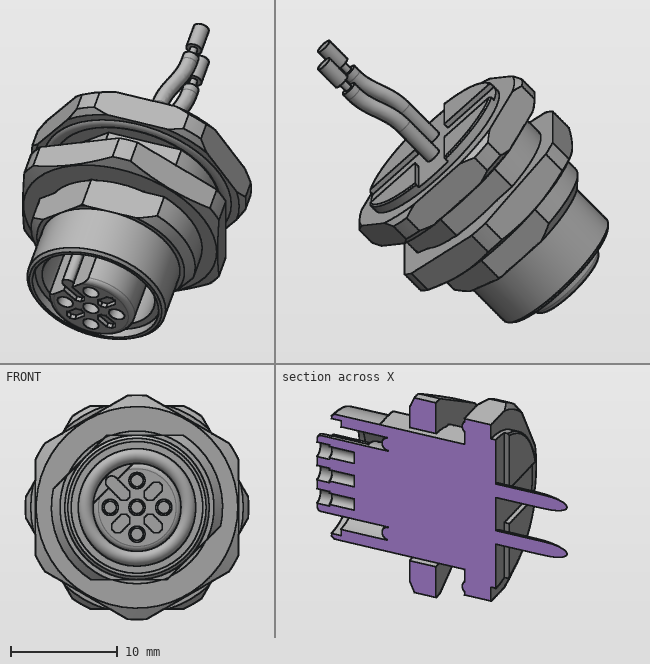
import cadquery as cq
import math


body_radius = 8.0
flat_distance = 6.75
flat_directions = (90, 135, 270, 315)
body_chamfer = 0.8
sleeve_radius = flat_distance
sleeve_chamfer = 0.3
sleeve_front = 1.5
body_front = 6.5
body_back = 19.0
rear_chamfer = 0.15
mouth_diameter = 12.3
mouth_depth = 0.95
bore_radius = 5.5
bore_floor = 7.4

rear_slot_width = 3.73
rear_slot_depth = 0.5

across_flats = 19.0
lock_nut_front = 9.58
lock_nut_back = 12.3
lock_nut_diameter = 21.0
lock_nut_bore = 7.15
lock_nut_face_radius = 9.42
lock_nut_bevel = 0.48
flange_front = 15.25
flange_back = 18.0
flange_radius = 10.45
flange_bevel = 0.5

panel_seal_tube = 0.7
panel_seal_radius = 8.62
panel_seal_proud = 0.25

insert_radius = 4.1
insert_fillet = 0.48
key_flat_distance = 3.15
key_flat_back = 5.15
key_direction = 135
key_radius = 0.58
key_center = 3.35
slot_width = 1.15
slot_directions = (45, 135, 225, 315)
slot_depth = 0.48
slot_corner = 0.35
slot_inner_end = 1.15
slot_outer_end = 3.12
contact_directions = (0, 90, 180, 270)
contact_pitch_radius = 2.5
contact_mouth_diameter = 1.5
contact_hole_diameter = 1.15
contact_mouth_depth = 1.3
contact_hole_depth = 3.85

wire_diameter = 1.5
core_diameter = 0.7
wire_offset = 1.22
bend_start = 22.57
bend_end = 28.1
insulation_end = 28.77
cap_start = 29.7
wire_end = 32.15

overlap = 0.32


def at_y(y):
    """Plane across the connector axis: local x is X, local y is Z, normal is -Y."""
    return cq.Workplane("XZ", origin=(0, y, 0))


def disc(radius, front, back):
    return at_y(back).circle(radius).extrude(back - front)


def revolved(points):
    """Solid of revolution about Y from (radius, y) points."""
    return cq.Workplane("XY").polyline(points).close().revolve(360, (0, 0, 0), (0, 1, 0))


def turned_to(solid, angle):
    """Turn a solid built along +X so that it points at an angle from +X toward +Z."""
    return solid.rotate((0, 0, 0), (0, 1, 0), -angle)


def beyond(distance, front, back):
    """Block that removes everything past a flat at the given distance along +X."""
    size = 2 * body_radius
    return cq.Workplane("XY").box(size, back - front, size, centered=(False, False, True)).translate(
        (distance, front, 0)
    )


def torus(ring_radius, tube_radius, y):
    return cq.Workplane("XY").center(ring_radius, y).circle(tube_radius).revolve(
        360, (-ring_radius, 0, 0), (-ring_radius, 1, 0)
    )


def hexagon(front, back, first_corner):
    corner_diameter = across_flats / math.cos(math.radians(30))
    prism = at_y(back).polygon(6, corner_diameter).extrude(back - front)
    return turned_to(prism, first_corner)


def make_body():
    body = revolved([
        (0, body_front),
        (body_radius - body_chamfer, body_front),
        (body_radius, body_front + body_chamfer),
        (body_radius, body_back - rear_chamfer),
        (body_radius - rear_chamfer, body_back),
        (0, body_back),
    ])
    for angle in flat_directions:
        body = body.cut(turned_to(beyond(flat_distance, body_front, flange_front), angle))
    slot = at_y(body_back).rect(2 * body_radius, rear_slot_width).extrude(rear_slot_depth)
    for angle in (0, 90):
        body = body.cut(turned_to(slot, angle))
    return body


def make_sleeve():
    sleeve = disc(sleeve_radius, sleeve_front, body_front + overlap)
    return sleeve.faces("<Y").chamfer(sleeve_chamfer)


def make_lock_nut():
    envelope = revolved([
        (lock_nut_bore, lock_nut_front),
        (lock_nut_face_radius, lock_nut_front),
        (lock_nut_diameter / 2, lock_nut_front + lock_nut_bevel),
        (lock_nut_diameter / 2, lock_nut_back),
        (lock_nut_bore, lock_nut_back),
    ])
    return hexagon(lock_nut_front, lock_nut_back, 90).intersect(envelope)


def make_flange():
    envelope = disc(flange_radius, flange_front, flange_back).faces("|Y").chamfer(flange_bevel)
    return hexagon(flange_front, flange_back, 0).intersect(envelope)


def make_insert():
    insert = disc(insert_radius, 0, bore_floor + overlap).faces("<Y").edges().fillet(insert_fillet)
    insert = insert.cut(turned_to(beyond(key_flat_distance, 0, key_flat_back), key_direction))

    key_length = key_center + key_radius - slot_inner_end
    key = at_y(key_flat_back + overlap).center(slot_inner_end + key_length / 2, 0)
    key = key.slot2D(key_length, 2 * key_radius).extrude(key_flat_back + overlap - slot_depth)
    insert = insert.union(turned_to(key, key_direction))

    for angle in slot_directions:
        outer_end = slot_outer_end
        if angle == key_direction:
            outer_end = key_center + key_radius + slot_width
        length = outer_end - slot_inner_end
        slot = at_y(slot_depth).center(slot_inner_end + length / 2, 0).rect(length, slot_width)
        slot = slot.extrude(slot_depth).edges("|Y").chamfer(slot_corner)
        insert = insert.cut(turned_to(slot, angle))

    contact = revolved([
        (0, 0),
        (contact_mouth_diameter / 2, 0),
        (contact_mouth_diameter / 2, contact_mouth_depth),
        (contact_hole_diameter / 2, contact_mouth_depth),
        (contact_hole_diameter / 2, contact_hole_depth),
        (0, contact_hole_depth),
    ])
    insert = insert.cut(contact)
    for angle in contact_directions:
        insert = insert.cut(turned_to(contact.translate((contact_pitch_radius, 0, 0)), angle))
    return insert


def make_wire(z):
    """Wire that leaves the rear face straight, then swings sideways in a smooth S."""
    start = body_back - rear_slot_depth - overlap
    path = (
        cq.Workplane("XY", origin=(0, 0, z))
        .moveTo(0, start)
        .lineTo(0, bend_start)
        .spline([(wire_offset, bend_end)], tangents=[(0, 1), (0, 1)], includeCurrent=True)
        .lineTo(wire_offset, insulation_end)
    )
    insulation = at_y(start).center(0, z).circle(wire_diameter / 2).sweep(path)
    core = disc(core_diameter / 2, insulation_end - overlap, cap_start + overlap)
    cap = disc(wire_diameter / 2, cap_start, wire_end)
    return insulation.union(core.union(cap).translate((wire_offset, 0, z)))


result = make_body().union(make_sleeve()).union(make_flange())
result = result.cut(disc(bore_radius, sleeve_front, bore_floor))
result = result.cut(disc(mouth_diameter / 2, sleeve_front, sleeve_front + mouth_depth))
result = result.union(make_lock_nut())

panel_seal_y = flange_front - panel_seal_proud + panel_seal_tube
result = result.union(torus(panel_seal_radius, panel_seal_tube, panel_seal_y))

result = result.union(make_insert())
bore_seal_tube = (bore_radius - insert_radius) / 2
result = result.union(torus(insert_radius + bore_seal_tube, bore_seal_tube, bore_floor))

for wire_z in (-contact_pitch_radius, contact_pitch_radius):
    result = result.union(make_wire(wire_z))